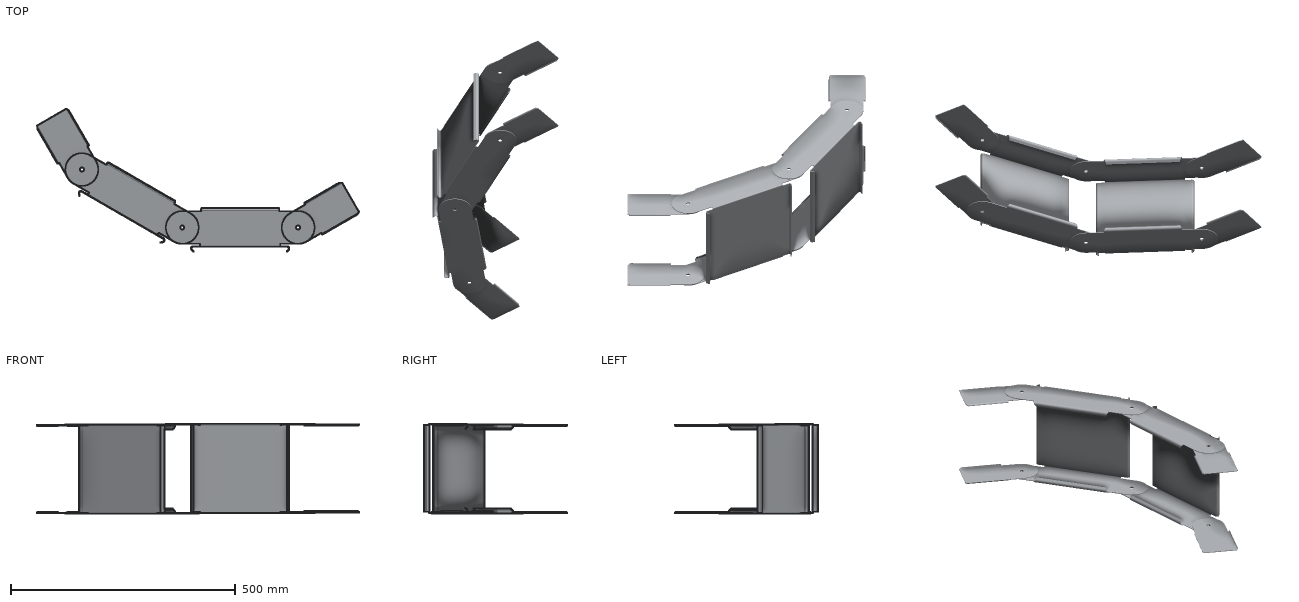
import cadquery as cq
import math

SHEET = 1.5
LINK_HEIGHT = 200.0
HINGE_SPACING = 258.5
TURN = 30
HINGE_RADIUS = 36.5
HOLE_DIAMETER = 8.5

WALL_Y = 43.0
LIP_Y = 44.0
WALL_BEND_RADIUS = 2.0
LIP_CURL_RADIUS = 5.0
LIP_TAIL = 5.0
WALL_BEND_LENGTH = 179.5
LIP_LENGTH = 175.0
LIP_TAPER = 6.0
WALL_FLAT_LENGTH = 210.0
WALL_MARGIN = 3.0
HOOK_RADIUS = 5.0
HOOK_TAIL = 5.4

END_LENGTH = 135.0
END_HALF_WIDTH = 41.0
END_BEND_RADIUS = 3.4
END_BEND_START = 39.0
END_CORNER_SETBACK = 6.5

half_height = LINK_HEIGHT / 2
half_spacing = HINGE_SPACING / 2
end_flat_half_width = END_HALF_WIDTH - END_BEND_RADIUS
half_bend_length = WALL_BEND_LENGTH / 2
half_lip_length = LIP_LENGTH / 2
COS_45 = math.sqrt(0.5)
lip_depth = LIP_CURL_RADIUS + (LIP_CURL_RADIUS + LIP_TAIL) * COS_45


def bent_section():
    """Upper half of the link's section, in the YZ plane: wall, bend, plate and curled lip."""
    bend_y = -WALL_Y + WALL_BEND_RADIUS
    bend_z = half_height - WALL_BEND_RADIUS
    outer_bend = WALL_BEND_RADIUS * COS_45
    inner_bend = (WALL_BEND_RADIUS - SHEET) * COS_45

    curl_y = LIP_Y - LIP_CURL_RADIUS
    curl_z = half_height - LIP_CURL_RADIUS
    outer_curl = LIP_CURL_RADIUS * COS_45
    inner_curl = (LIP_CURL_RADIUS - SHEET) * COS_45
    tail = LIP_TAIL * COS_45
    return (
        cq.Workplane("YZ")
        .moveTo(-WALL_Y, 0)
        .lineTo(-WALL_Y, bend_z)
        .threePointArc((bend_y - outer_bend, bend_z + outer_bend), (bend_y, half_height))
        .lineTo(curl_y, half_height)
        .threePointArc((LIP_Y, curl_z), (curl_y + outer_curl, curl_z - outer_curl))
        .lineTo(curl_y + outer_curl - tail, curl_z - outer_curl - tail)
        .lineTo(curl_y + inner_curl - tail, curl_z - inner_curl - tail)
        .lineTo(curl_y + inner_curl, curl_z - inner_curl)
        .threePointArc((LIP_Y - SHEET, curl_z), (curl_y, half_height - SHEET))
        .lineTo(bend_y, half_height - SHEET)
        .threePointArc((bend_y - inner_bend, bend_z + inner_bend), (-WALL_Y + SHEET, bend_z))
        .lineTo(-WALL_Y + SHEET, 0)
        .close()
    )


def hinge_plate():
    """Flat upper plate of a link, with a rounded end at each hinge."""
    return (
        cq.Workplane("XY", origin=(0, 0, half_height - SHEET))
        .slot2D(HINGE_SPACING + 2 * HINGE_RADIUS, 2 * HINGE_RADIUS)
        .extrude(SHEET)
    )


def wall_hook():
    """Hook at the +X end of the wall: bent outward through 135 degrees, with a straight tail."""
    bend_x = WALL_FLAT_LENGTH / 2
    inner_y = -WALL_Y + SHEET
    bend_y = inner_y - HOOK_RADIUS
    outer_bend = HOOK_RADIUS * COS_45
    inner_bend = (HOOK_RADIUS - SHEET) * COS_45
    tail = HOOK_TAIL * COS_45
    return (
        cq.Workplane("XY", origin=(0, 0, WALL_MARGIN - half_height))
        .moveTo(bend_x, inner_y)
        .threePointArc((bend_x + HOOK_RADIUS, bend_y), (bend_x + outer_bend, bend_y - outer_bend))
        .lineTo(bend_x + outer_bend - tail, bend_y - outer_bend - tail)
        .lineTo(bend_x + inner_bend - tail, bend_y - inner_bend - tail)
        .lineTo(bend_x + inner_bend, bend_y - inner_bend)
        .threePointArc((bend_x + HOOK_RADIUS - SHEET, bend_y), (bend_x, -WALL_Y))
        .close()
        .extrude(LINK_HEIGHT - 2 * WALL_MARGIN)
    )


def hooked_wall():
    """Wall of a link, with a hook at both ends."""
    flat = cq.Workplane("XY", origin=(0, -WALL_Y + SHEET / 2, 0)).box(
        WALL_FLAT_LENGTH, SHEET, LINK_HEIGHT - 2 * WALL_MARGIN
    )
    hook = wall_hook()
    return flat.union(hook).union(hook.mirror("YZ"))


def bent_sheet_limits():
    """Space that bounds the bent sheet: full length at the wall, tapered ends at the lip."""
    wall_side = (
        cq.Workplane("XY", origin=(0, -WALL_Y / 2, 0))
        .rect(WALL_BEND_LENGTH, WALL_Y)
        .extrude(half_height)
    )
    lip_bottom = half_height - lip_depth
    lip_side = (
        cq.Workplane("XZ")
        .polyline([
            (-half_lip_length, half_height),
            (half_lip_length, half_height),
            (half_lip_length - LIP_TAPER, lip_bottom),
            (-half_lip_length + LIP_TAPER, lip_bottom),
        ])
        .close()
        .extrude(-LIP_Y)
    )
    return wall_side.union(lip_side)


def make_link():
    """One channel-shaped link, centred between its hinges."""
    bent_sheet = bent_section().extrude(half_bend_length, both=True).intersect(bent_sheet_limits())
    upper_half = bent_sheet.union(hinge_plate())
    link = upper_half.union(upper_half.mirror("XY")).union(hooked_wall())
    holes = (
        cq.Workplane("XY", origin=(0, 0, -half_height))
        .pushPoints([(-half_spacing, 0), (half_spacing, 0)])
        .circle(HOLE_DIAMETER / 2)
        .extrude(LINK_HEIGHT)
    )
    return link.cut(holes)


def end_section():
    """Section of an end plate, in the YZ plane: flat with both edges bent down a quarter turn."""
    inner_radius = END_BEND_RADIUS - SHEET
    outer_bend = END_BEND_RADIUS * COS_45
    inner_bend = inner_radius * COS_45
    flat = end_flat_half_width
    edge_z = -END_BEND_RADIUS
    return (
        cq.Workplane("YZ")
        .moveTo(-flat, 0)
        .lineTo(flat, 0)
        .threePointArc((flat + outer_bend, edge_z + outer_bend), (END_HALF_WIDTH, edge_z))
        .lineTo(flat + inner_radius, edge_z)
        .threePointArc((flat + inner_bend, edge_z + inner_bend), (flat, -SHEET))
        .lineTo(-flat, -SHEET)
        .threePointArc((-flat - inner_bend, edge_z + inner_bend), (-flat - inner_radius, edge_z))
        .lineTo(-END_HALF_WIDTH, edge_z)
        .threePointArc((-flat - outer_bend, edge_z + outer_bend), (-flat, 0))
        .close()
    )


def make_end_plate():
    """End plate with its outer face at Z = 0 and its bent edges pointing down."""
    corner_x = END_LENGTH - END_CORNER_SETBACK
    plan = (
        cq.Workplane("XY", origin=(0, 0, -END_BEND_RADIUS))
        .polyline([
            (END_BEND_START, -END_HALF_WIDTH),
            (corner_x, -END_HALF_WIDTH),
            (END_LENGTH, -end_flat_half_width),
            (END_LENGTH, end_flat_half_width),
            (corner_x, END_HALF_WIDTH),
            (END_BEND_START, END_HALF_WIDTH),
        ])
        .close()
        .extrude(END_BEND_RADIUS)
    )
    tray = end_section().extrude(END_LENGTH).intersect(plan)
    hinge_end = cq.Workplane("XY", origin=(0, 0, -SHEET)).circle(HINGE_RADIUS).extrude(SHEET)
    neck = (
        cq.Workplane("XY", origin=(END_BEND_START / 2, 0, -SHEET))
        .rect(END_BEND_START, 2 * HINGE_RADIUS)
        .extrude(SHEET)
    )
    hole = cq.Workplane("XY", origin=(0, 0, -SHEET)).circle(HOLE_DIAMETER / 2).extrude(SHEET)
    return tray.union(neck).union(hinge_end).cut(hole)


def turned(body, angle, place):
    """Turn a body about the Z axis, then move it."""
    return body.rotate((0, 0, 0), (0, 0, 1), angle).translate(place)


turn = math.radians(TURN)
link_direction = (-math.cos(turn), math.sin(turn))

right_link = make_link().translate((half_spacing, 0, SHEET))
left_link = turned(
    make_link(), -TURN, (half_spacing * link_direction[0], half_spacing * link_direction[1], 0)
)

right_hinge = (HINGE_SPACING, 0, SHEET)
left_hinge = (HINGE_SPACING * link_direction[0], HINGE_SPACING * link_direction[1], 0)
end_face_height = half_height - SHEET
end_plates = []
for hinge, angle in [(right_hinge, TURN), (left_hinge, 180 - 2 * TURN)]:
    for upper in (True, False):
        plate = make_end_plate().translate((0, 0, end_face_height))
        if not upper:
            plate = plate.mirror("XY")
        end_plates.append(turned(plate, angle, hinge).val())

result = cq.Compound.makeCompound([right_link.val(), left_link.val(), *end_plates])